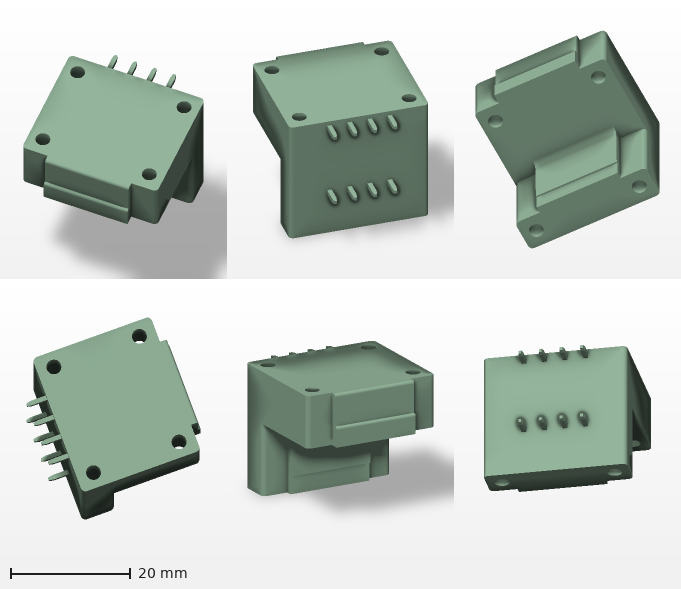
import cadquery as cq
import math


width = 24.4
height = 21.9
head_depth = 20.99
head_height = 9.2
leg_depth = 5.8
corner_radius = 0.8

tab_width = 15.1
tab_projection = 1.7
tab_step = 0.5
tab_step_drop = 5.6
tab_edge_radius = 0.5

rib_foot_depth = 1.13
rib_foot_height = 3.2
rib_step = 0.3
rib_lean = 1.5
rib_root_radius = 1.0

embed_depth = 0.79

hole_diameter = 2.5
hole_spacing_x = 19.2
hole_spacing_y = 15.2

pin_width = 0.79
pin_height = 0.85
pin_tip_width = 0.47
pin_tip_height = 0.55
pin_length = 3.5
pin_tip_length = 0.85
pin_count = 4
pin_pitch = 3.5
pin_row_drop = 1.18
pin_row_spacing = 12.7

front_y = tab_projection
back_y = front_y + head_depth
leg_front_y = back_y - leg_depth
shelf_z = height - head_height


def rounded_block(depth, block_height, base_z):
    """Block flush with the back face, with rounded vertical edges."""
    return (
        cq.Workplane("XY", origin=(0, back_y - depth / 2, base_z))
        .rect(width, depth)
        .extrude(block_height)
        .edges("|Z")
        .fillet(corner_radius)
    )


def side_profile():
    """Workplane in the YZ plane, placed at the -X side of the tab and the rib."""
    return cq.Workplane("YZ", origin=(-tab_width / 2, 0, 0))


def head_tab():
    """Stepped tab on the front of the head, with two rounded upper edges."""
    step_z = height - tab_step_drop
    arc_offset = tab_edge_radius * (1 - math.sqrt(0.5))
    return (
        side_profile()
        .moveTo(front_y + embed_depth, shelf_z)
        .lineTo(0, shelf_z)
        .lineTo(0, step_z - tab_edge_radius)
        .threePointArc((arc_offset, step_z - arc_offset), (tab_step, step_z))
        .lineTo(tab_step, height - tab_edge_radius)
        .threePointArc(
            (tab_step + arc_offset, height - arc_offset),
            (tab_step + tab_edge_radius, height),
        )
        .lineTo(front_y + embed_depth, height)
        .close()
        .extrude(tab_width)
    )


def leg_rib():
    """Rib on the front of the leg: set-back foot, leaning face and a rounded root at the head."""
    foot_y = leg_front_y - rib_foot_depth
    step_y = foot_y - rib_step
    lean = math.radians(rib_lean)
    shelf_y = step_y - (shelf_z - rib_foot_height) * math.tan(lean)

    half_corner = (math.pi / 2 + lean) / 2
    tangent_length = rib_root_radius / math.tan(half_corner)
    arc_center_y = shelf_y - tangent_length
    arc_center_z = shelf_z - rib_root_radius
    arc_end = (
        arc_center_y + rib_root_radius * math.cos(lean),
        arc_center_z + rib_root_radius * math.sin(lean),
    )
    arc_middle = (
        arc_center_y + rib_root_radius * math.cos(half_corner),
        arc_center_z + rib_root_radius * math.sin(half_corner),
    )
    inner_y = leg_front_y + embed_depth
    return (
        side_profile()
        .moveTo(inner_y, 0)
        .lineTo(foot_y, 0)
        .lineTo(foot_y, rib_foot_height)
        .lineTo(step_y, rib_foot_height)
        .lineTo(*arc_end)
        .threePointArc(arc_middle, (arc_center_y, shelf_z))
        .lineTo(inner_y, shelf_z)
        .close()
        .extrude(tab_width)
    )


def pin(x, z):
    """Rectangular pin sticking out of the back, ending in a tapered tip."""
    shank_length = pin_length - pin_tip_length
    shank_end_y = back_y + shank_length
    shank = (
        cq.Workplane("XZ", origin=(x, back_y, z))
        .rect(pin_width, pin_height)
        .extrude(-shank_length)
    )
    tip = (
        cq.Workplane("XZ", origin=(x, shank_end_y, z))
        .rect(pin_width, pin_height)
        .workplane(offset=-pin_tip_length)
        .rect(pin_tip_width, pin_tip_height)
        .loft(ruled=True)
    )
    return shank.union(tip)


def hole_cutters():
    """Four through holes, centred on the head."""
    return (
        cq.Workplane("XY", origin=(0, front_y + head_depth / 2, 0))
        .rect(hole_spacing_x, hole_spacing_y, forConstruction=True)
        .vertices()
        .circle(hole_diameter / 2)
        .extrude(height)
    )


head = rounded_block(head_depth, head_height, shelf_z)
leg = rounded_block(leg_depth, shelf_z, 0)
result = head.union(leg).union(head_tab()).union(leg_rib()).cut(hole_cutters())

upper_row_z = height - pin_row_drop
for row_z in (upper_row_z, upper_row_z - pin_row_spacing):
    for index in range(pin_count):
        pin_x = (index - (pin_count - 1) / 2) * pin_pitch
        result = result.union(pin(pin_x, row_z))